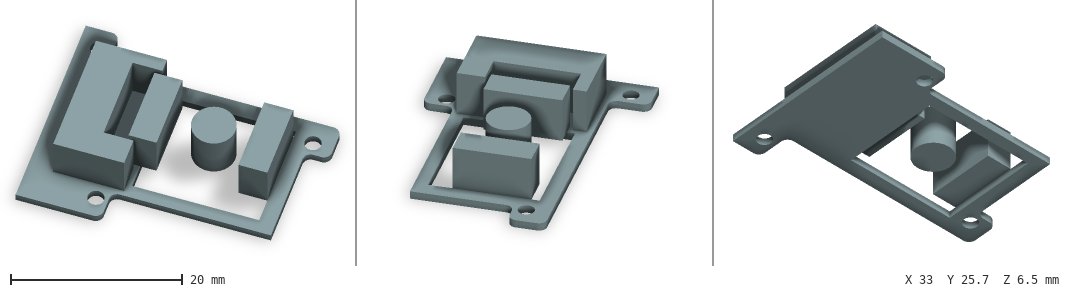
import cadquery as cq


overall_length = 33.0
overall_width = 25.7
overall_height = 6.5
plate_thickness = 1.0
component_height = overall_height - plate_thickness

corner_radius = 1.0
rear_tab_length = 4.2
front_tab_length = 10.5
frame_length = 30.03
frame_front = 3.85
frame_rear = 20.95
side_tab_front = 16.45

window_left = 12.47
window_right = 28.05
window_front = 5.5
window_rear = 18.98
hole_diameter = 2.0
hole_centers = [(2.5, 23.0), (30.45, 18.02), (9.0, 2.55)]

housing_left = 3.1
housing_right = 11.8
housing_front = 4.52
housing_rear = 20.2
notch_left = 8.15
notch_width = 10.6

block_center_y = 13.23
block_width = 9.5
left_block_start = 11.02
left_block_length = 3.43
right_block_length = 3.55
right_block_start = window_right - right_block_length
post_diameter = 5.3
post_center = (19.95, 13.0)


def make_box(x_min, x_max, y_min, y_max, z_min, height):
    """Upright box between the given X and Y limits."""
    return cq.Workplane("XY").box(
        x_max - x_min, y_max - y_min, height, centered=False
    ).translate((x_min, y_min, z_min))


def make_plate():
    """Flat frame with three mounting tabs, a window and a hole in each tab."""
    outline = [
        (0, 0),
        (front_tab_length, 0),
        (front_tab_length, frame_front),
        (frame_length, frame_front),
        (frame_length, side_tab_front),
        (overall_length, side_tab_front),
        (overall_length, frame_rear),
        (rear_tab_length, frame_rear),
        (rear_tab_length, overall_width),
        (0, overall_width),
    ]
    rounded_corners = [
        (front_tab_length, 0),
        (front_tab_length, frame_front),
        (frame_length, side_tab_front),
        (overall_length, side_tab_front),
        (overall_length, frame_rear),
        (rear_tab_length, frame_rear),
        (rear_tab_length, overall_width),
    ]
    plate = cq.Workplane("XY").polyline(outline).close().extrude(plate_thickness)
    corner_edges = cq.Workplane("XY")
    for x, y in rounded_corners:
        corner = cq.selectors.NearestToPointSelector((x, y, plate_thickness / 2))
        corner_edges = corner_edges.add(plate.edges("|Z").edges(corner))
    plate = plate.newObject(corner_edges.vals()).fillet(corner_radius)

    window = make_box(window_left, window_right, window_front, window_rear, 0, plate_thickness)
    holes = cq.Workplane("XY").pushPoints(hole_centers).circle(hole_diameter / 2).extrude(plate_thickness)
    return plate.cut(window).cut(holes)


def make_housing():
    """C-shaped housing standing on the plate."""
    housing = make_box(
        housing_left, housing_right, housing_front, housing_rear, plate_thickness, component_height
    )
    notch = make_box(
        notch_left,
        housing_right,
        block_center_y - notch_width / 2,
        block_center_y + notch_width / 2,
        plate_thickness,
        component_height,
    )
    return housing.cut(notch)


def make_block(start, length):
    """Plain block level with the top of the plate at its base."""
    return make_box(
        start,
        start + length,
        block_center_y - block_width / 2,
        block_center_y + block_width / 2,
        plate_thickness,
        component_height,
    )


def make_post():
    """Round post above the window, its base level with the plate top."""
    return (
        cq.Workplane("XY", origin=(0, 0, plate_thickness))
        .center(*post_center)
        .circle(post_diameter / 2)
        .extrude(component_height)
    )


plate = make_plate()
housing = make_housing()
left_block = make_block(left_block_start, left_block_length)
right_block = make_block(right_block_start, right_block_length)
post = make_post()

result = cq.Compound.makeCompound(
    [plate.val(), housing.val(), left_block.val(), right_block.val(), post.val()]
)